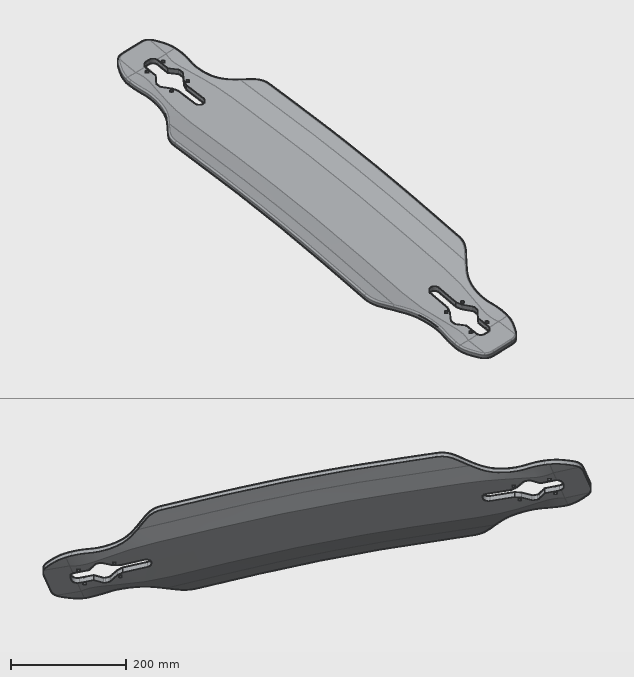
import cadquery as cq

length = 975.0
width = 218.0
height = 41.0
thickness = 12.0
half_length = length / 2
half_width = width / 2

rocker_height = 16.0
rocker_half_length = 410.0
rocker_power = 2
tip_start = 437.0
tip_rise = 1.5

edge_round = 3.0
edge_drop = 0.7
wing_rise = height + edge_drop - thickness - rocker_height
wing_full = 332.0
inner_crease_mid = 47.0
inner_crease_tip = 35.0
crease_narrow_start = 302.0
crease_narrow_end = 400.0
outer_crease = 82.0
outer_crease_share = 0.55
blank_margin = 10.0
blank_half_width = half_width + blank_margin
blank_half_length = half_length + blank_margin
body_stations = 13

side_end = 249.0
side_shoulder = (286.0, 94.0)
side_neck = (330.0, 62.0)
waist = (386.0, 54.0)
mount_bulge = (427.0, 58.0)
nose_corner = (470.0, 45.0)
nose_flat_half = 20.0

head_end = 445.0
head_half = 14.0
head_corner = 11.0
slot_half = 10.0
slot_end = 299.0
bulge_start = 408.0
bulge_half = 26.0
bulge_top = (392.0, 382.0)
bulge_end = (365.0, head_half)
slot_start = 354.0
bulge_round = 6.0
bolt_side = 19.0
bolt_holes = ((425.0, 6.0), (361.0, 5.8))

drill_height = 3 * height
steep = 0.5


def smooth_step(value, start, end):
    """Rise gently from 0 at start to 1 at end."""
    share = min(max((value - start) / (end - start), 0.0), 1.0)
    return share * share * (3 - 2 * share)


def centre_height(x):
    """Height of the underside on the centreline."""
    reach = max(1 - (x / rocker_half_length) ** 2, 0.0)
    tip_share = max((abs(x) - tip_start) / (half_length - tip_start), 0.0)
    return rocker_height * reach**rocker_power + tip_rise * tip_share


def cross_section(x):
    """Closed section wire of the blank at station x."""
    narrowing = smooth_step(abs(x), crease_narrow_start, crease_narrow_end)
    inner_crease = inner_crease_mid + (inner_crease_tip - inner_crease_mid) * narrowing
    edge_rise = wing_rise * (1 - smooth_step(abs(x), wing_full, half_length))
    crease_rise = edge_rise * outer_crease_share
    outer_slope = (edge_rise - crease_rise) / (half_width - outer_crease)
    blank_rise = edge_rise + outer_slope * (blank_half_width - half_width)
    half_profile = [(inner_crease, 0.0), (outer_crease, crease_rise), (blank_half_width, blank_rise)]
    profile = [(-y, rise) for y, rise in reversed(half_profile)] + half_profile
    base = centre_height(x)
    lower = [cq.Vector(x, y, base + rise) for y, rise in profile]
    upper = [point + cq.Vector(0, 0, thickness) for point in reversed(lower)]
    return cq.Wire.makePolygon(lower + upper, close=True)


def make_blank():
    """Bent panel of constant thickness, larger than the deck in plan."""
    step = 2 * tip_start / (body_stations - 1)
    stations = [-tip_start + i * step for i in range(body_stations)]
    blank = cq.Workplane(cq.Solid.makeLoft([cross_section(x) for x in stations]))
    for side in (-1, 1):
        tip = [cross_section(side * tip_start), cross_section(side * blank_half_length)]
        blank = blank.union(cq.Workplane(cq.Solid.makeLoft(tip, True)))
    return blank


def make_outline():
    """Plan shape of the deck as a tall prism."""
    along_x = (1, 0)
    shoulder_curve = [side_shoulder, side_neck, waist, mount_bulge]
    nose_curve = [nose_corner, (half_length, nose_flat_half)]
    quarter = (
        cq.Workplane("XY")
        .moveTo(0, 0)
        .lineTo(0, half_width)
        .lineTo(side_end, half_width)
        .spline(shoulder_curve, tangents=[along_x, along_x], includeCurrent=True)
        .spline(nose_curve, tangents=[along_x, (0, -1)], includeCurrent=True)
        .lineTo(half_length, 0)
        .close()
        .extrude(drill_height, both=True)
    )
    half = quarter.union(quarter.mirror("XZ"))
    return half.union(half.mirror("YZ")).clean()


def round_upper_rim(deck):
    """Round the edges where the upright side meets the upper surface."""
    faces = deck.faces().vals()
    side_faces = [face for face in faces if abs(face.normalAt().z) < steep]
    upper_faces = [face for face in faces if face.normalAt().z > steep]
    side_edges = [edge for face in side_faces for edge in face.Edges()]
    upper_edges = [edge for face in upper_faces for edge in face.Edges()]
    rim = [edge for edge in upper_edges if any(edge.isSame(other) for other in side_edges)]
    return deck.newObject(rim).fillet(edge_round)


def make_truck_cutout():
    """Keyhole through the mount at the +X end, with its four bolt holes."""
    upper = [
        (bulge_start, head_half),
        (bulge_top[0], bulge_half),
        (bulge_top[1], bulge_half),
        bulge_end,
        (slot_start, slot_half),
    ]
    lower = [(x, -y) for x, y in reversed(upper)]
    bulge = cq.Workplane("XY").polyline(upper + lower).close().extrude(drill_height, both=True)
    bulge = bulge.edges("|Z").edges(">Y or <Y").fillet(bulge_round)
    head = (
        cq.Workplane("XY")
        .center((head_end + bulge_top[0]) / 2, 0)
        .rect(head_end - bulge_top[0], 2 * head_half)
        .extrude(drill_height, both=True)
        .edges("|Z and >X")
        .fillet(head_corner)
    )
    slot = (
        cq.Workplane("XY")
        .center((slot_end + bulge_top[1]) / 2, 0)
        .slot2D(bulge_top[1] - slot_end, 2 * slot_half)
        .extrude(drill_height, both=True)
    )
    cutout = bulge.union(head).union(slot)
    for x, diameter in bolt_holes:
        bolts = (
            cq.Workplane("XY")
            .pushPoints([(x, bolt_side), (x, -bolt_side)])
            .circle(diameter / 2)
            .extrude(drill_height, both=True)
        )
        cutout = cutout.union(bolts)
    return cutout


deck = round_upper_rim(make_blank().intersect(make_outline()))
cutout = make_truck_cutout()
drilled_deck = deck.cut(cutout).cut(cutout.mirror("YZ"))
result = cq.Workplane(drilled_deck.solids().val())